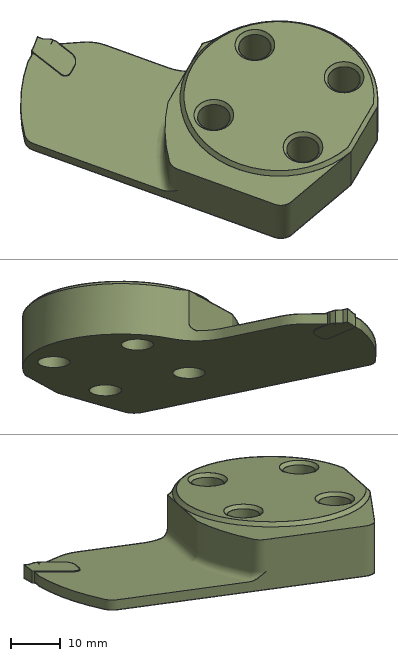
import cadquery as cq
import math

HEAD_RADIUS = 20.0
HEAD_HEIGHT = 11.6
HEAD_CHAMFER = 0.8
FLAT_X = 18.95
FLAT_HALF_WIDTH = math.sqrt(HEAD_RADIUS**2 - FLAT_X**2)

BOLT_CIRCLE_RADIUS = 14.0
HOLE_DIAMETER = 6.5
COUNTERSINK_DIAMETER = 8.0
COUNTERSINK_ANGLE = 90
HOLE_COUNT = 4
FIRST_HOLE_ANGLE = 45

BLADE_THICKNESS = 2.2
BLOCK_HEIGHT = HEAD_HEIGHT - HEAD_CHAMFER
BOTTOM_Y = -25.05
BLADE_TOP_Y = 4.1
CORNER_RADIUS = 3.0
NECK_RADIUS = 10.0
SHOULDER_RADIUS = 9.0
SHOULDER_X = -42.75
NOSE_SLOPE = 30
CURVE_RADIUS = 40.0
CURVE_CENTRE_X = -13.35
BLADE_END_X = -52.85
WALL_SHIFT = 32.1
WALL_X = -HEAD_RADIUS
WALL_FILLET = 1.75

INSERT_THICKNESS = 2.6
INSERT_FILLET_UPPER = 3.0
INSERT_FILLET_LOWER = 1.15
INSERT_TILT = 20
INSERT_TAIL_X = -43.8
TIP_X = -53.65
TIP_Y = 0.0
TIP_EDGE_END = (-52.5, 0.0)
CREST_START = (-51.1, 0.65)
CREST_END = (-49.8, 0.65)
FLANK_KINK = (-53.3, -2.8)
FLANK_END = (-53.3, -3.55)
HEEL = (-52.8, -3.9)
TIP_RISE = 0.15
RIDGE_START = (-52.85, -2.9)
RIDGE_END = (-50.45, -0.5)

MARGIN = 14.5
SELECT_MARGIN = 0.1

MID_Z = BLADE_THICKNESS / 2


def curve_point(y, shift=0.0):
    """Point at y on the blade's curved end, which is centred on Y = 0, moved by shift along X."""
    reach = math.sqrt(CURVE_RADIUS**2 - y**2)
    return (CURVE_CENTRE_X + shift - reach, y)


def curve_start_y(x, shift=0.0):
    """Y where the curved end, moved by shift along X, leaves an upright line at x."""
    return -math.sqrt(CURVE_RADIUS**2 - (CURVE_CENTRE_X + shift - x) ** 2)


def fillet_corner(solid, point, radius):
    """Round the upright edge nearest to a plan point."""
    corner = cq.selectors.NearestToPointSelector((*point, solid.val().Center().z))
    return solid.edges("|Z").edges(corner).fillet(radius)


def outline_prism():
    """Plan outline of blade and head, raised to the block height."""
    neck_y = BLADE_TOP_Y + NECK_RADIUS
    neck_reach = HEAD_RADIUS + NECK_RADIUS
    neck_x = -math.sqrt(neck_reach**2 - neck_y**2)
    head_share = HEAD_RADIUS / neck_reach
    neck_end = (neck_x * head_share, neck_y * head_share)
    neck_turn = math.atan2(neck_end[1] - neck_y, neck_end[0] - neck_x)
    neck_angle = (neck_turn - math.pi / 2) / 2
    neck_mid = (neck_x + NECK_RADIUS * math.cos(neck_angle), neck_y + NECK_RADIUS * math.sin(neck_angle))

    nose_y = BLADE_TOP_Y - (SHOULDER_X - BLADE_END_X) * math.tan(math.radians(NOSE_SLOPE))
    curve_y = curve_start_y(BLADE_END_X)
    bottom_left = curve_point(BOTTOM_Y)
    shoulder = (SHOULDER_X, BLADE_TOP_Y)
    side_run = (-FLAT_HALF_WIDTH - BOTTOM_Y) * FLAT_HALF_WIDTH / FLAT_X
    bottom_right = (FLAT_X - side_run, BOTTOM_Y)

    prism = (
        cq.Workplane("XY")
        .moveTo(*bottom_left)
        .threePointArc(curve_point((curve_y + BOTTOM_Y) / 2), (BLADE_END_X, curve_y))
        .lineTo(BLADE_END_X, nose_y)
        .lineTo(*shoulder)
        .lineTo(neck_x, BLADE_TOP_Y)
        .threePointArc(neck_mid, neck_end)
        .threePointArc((0, HEAD_RADIUS), (FLAT_X, FLAT_HALF_WIDTH))
        .lineTo(FLAT_X, -FLAT_HALF_WIDTH)
        .lineTo(*bottom_right)
        .close()
        .extrude(BLOCK_HEIGHT)
    )
    prism = fillet_corner(prism, bottom_left, CORNER_RADIUS)
    prism = fillet_corner(prism, bottom_right, CORNER_RADIUS)
    return fillet_corner(prism, shoulder, SHOULDER_RADIUS)


def stepped_stock():
    """Oversize slab carrying the block, with the block wall blended into the slab."""
    wall_y = curve_start_y(WALL_X, WALL_SHIFT)
    wall_corner = curve_point(BOTTOM_Y, WALL_SHIFT)
    far_x = FLAT_X + MARGIN
    far_y = HEAD_RADIUS + MARGIN
    block = (
        cq.Workplane("XY")
        .moveTo(WALL_X, far_y)
        .lineTo(WALL_X, wall_y)
        .threePointArc(curve_point((wall_y + BOTTOM_Y) / 2, WALL_SHIFT), wall_corner)
        .lineTo(far_x, BOTTOM_Y)
        .lineTo(far_x, far_y)
        .close()
        .extrude(BLOCK_HEIGHT)
    )
    block = fillet_corner(block, wall_corner, CORNER_RADIUS)
    slab_length = far_x - TIP_X + 2 * MARGIN
    slab_width = far_y - BOTTOM_Y + 2 * MARGIN
    slab = cq.Workplane("XY").box(slab_length, slab_width, BLADE_THICKNESS, centered=False)
    stock = block.union(slab.translate((TIP_X - MARGIN, BOTTOM_Y - MARGIN, 0)))
    foot = cq.selectors.BoxSelector(
        (WALL_X - SELECT_MARGIN, BOTTOM_Y - SELECT_MARGIN, BLADE_THICKNESS - SELECT_MARGIN),
        (far_x + SELECT_MARGIN, far_y + SELECT_MARGIN, BLADE_THICKNESS + SELECT_MARGIN),
    )
    return stock.edges(foot).fillet(WALL_FILLET)


def head():
    """Chamfered disc with one flat side."""
    disc = cq.Workplane("XY").circle(HEAD_RADIUS).extrude(HEAD_HEIGHT)
    beyond_flat = cq.Workplane("XY").box(MARGIN, 2 * HEAD_RADIUS, 2 * HEAD_HEIGHT + MARGIN)
    disc = disc.cut(beyond_flat.translate((FLAT_X + MARGIN / 2, 0, 0)))
    return disc.faces(">Z").chamfer(HEAD_CHAMFER)


def insert_outline():
    """Plan outline of the insert, from the cutting corner clockwise."""
    slope = math.tan(math.radians(INSERT_TILT))
    tail_upper = (INSERT_TAIL_X, CREST_END[1] - (INSERT_TAIL_X - CREST_END[0]) * slope)
    tail_lower = (INSERT_TAIL_X, HEEL[1] - (INSERT_TAIL_X - HEEL[0]) * slope)
    points = [
        (TIP_X, TIP_Y), TIP_EDGE_END, CREST_START, CREST_END,
        tail_upper, tail_lower, HEEL, FLANK_END, FLANK_KINK,
    ]
    return points, tail_upper, tail_lower


def insert_prism(thickness):
    """Upright prism of the insert outline, centred on the blade thickness."""
    points, tail_upper, tail_lower = insert_outline()
    base = cq.Workplane("XY").workplane(offset=MID_Z - thickness / 2)
    prism = base.polyline(points).close().extrude(thickness)
    prism = fillet_corner(prism, tail_upper, INSERT_FILLET_UPPER)
    return fillet_corner(prism, tail_lower, INSERT_FILLET_LOWER)


def make_insert():
    """Insert with faces that rise towards the cutting corner, above and below."""
    body = insert_prism(INSERT_THICKNESS)
    ridge_length = math.dist(RIDGE_START, RIDGE_END)
    along = ((RIDGE_END[0] - RIDGE_START[0]) / ridge_length, (RIDGE_END[1] - RIDGE_START[1]) / ridge_length)
    corner_distance = along[0] * (TIP_Y - RIDGE_START[1]) - along[1] * (TIP_X - RIDGE_START[0])
    half = INSERT_THICKNESS / 2
    overrun_rise = TIP_RISE * MARGIN / corner_distance
    wedge_plane = cq.Plane(
        origin=(*RIDGE_START, MID_Z), xDir=(-along[1], along[0], 0), normal=(along[0], along[1], 0)
    )
    wedge = (
        cq.Workplane(wedge_plane)
        .moveTo(0, -half)
        .lineTo(MARGIN, -half - overrun_rise)
        .lineTo(MARGIN, half + overrun_rise)
        .lineTo(0, half)
        .close()
        .extrude(MARGIN, both=True)
    )
    tip_limit = cq.Workplane("XY").box(MARGIN, MARGIN, MARGIN)
    tip_limit = tip_limit.translate((RIDGE_END[0] - MARGIN / 2, 0, MID_Z))
    tip = insert_prism(INSERT_THICKNESS + MARGIN).intersect(wedge).intersect(tip_limit)
    return body.union(tip)


def make_holder():
    """Blade, block and head in one piece, with screw holes and the insert seat."""
    body = stepped_stock().intersect(outline_prism()).union(head())
    body = (
        body.faces(">Z").workplane(origin=(0, 0, HEAD_HEIGHT))
        .polarArray(BOLT_CIRCLE_RADIUS, FIRST_HOLE_ANGLE, 360, HOLE_COUNT)
        .cskHole(HOLE_DIAMETER, COUNTERSINK_DIAMETER, COUNTERSINK_ANGLE)
    )
    return body.cut(insert_prism(INSERT_THICKNESS))


holder = make_holder()
insert = make_insert()
result = cq.Compound.makeCompound([holder.val(), insert.val()])